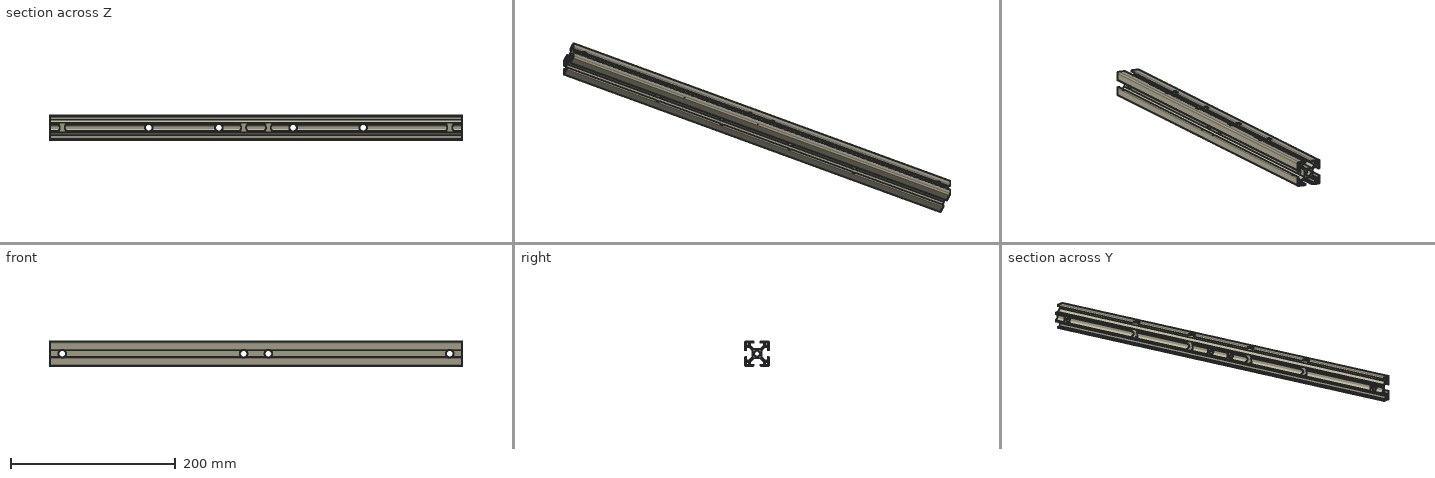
import cadquery as cq

length = 500.0
width = 30.0

slot_opening = 8.0
wall = 1.8
corner_radius = 2.0
lip_radius = 1.5
corner_box = 7.0
cavity_size = 2.9
core_width = 11.5
core_bore = 7.0
web_thickness = 1.9

hole_diameter = 9.0
side_hole_distances = (15.0, 235.0)
top_hole_distances = (120.0, 205.0)

notch_length = 7.5
notch_width = 14.0

half_width = width / 2


def square_bar(near, size):
    """Full-length square bar whose lower corner is at Y = Z = near."""
    return cq.Workplane("YZ").rect(size, size, centered=False).extrude(length).translate((0, near, near))


def make_slot_lip():
    """Wall along the top face, from the slot opening to the outer corner."""
    opening_edge = slot_opening / 2
    inner_face = half_width - wall
    return (
        cq.Workplane("YZ")
        .moveTo(half_width, inner_face)
        .lineTo(opening_edge, inner_face)
        .lineTo(opening_edge, half_width - lip_radius)
        .radiusArc((opening_edge + lip_radius, half_width), lip_radius)
        .lineTo(half_width, half_width)
        .close()
        .extrude(length)
    )


def make_corner():
    """Hollow corner box, its two slot lips and the diagonal web in the +Y +Z quadrant."""
    box_start = half_width - corner_box
    cavity_start = half_width - wall - cavity_size
    top_lip = make_slot_lip()
    side_lip = top_lip.mirror("XY").rotate((0, 0, 0), (1, 0, 0), 90)
    envelope = square_bar(0, half_width).edges("|X and >Y and >Z").fillet(corner_radius)
    shell = (
        square_bar(box_start, corner_box)
        .union(top_lip)
        .union(side_lip)
        .intersect(envelope)
        .cut(square_bar(cavity_start, cavity_size))
    )

    web_start = core_width / 2 - web_thickness / 2
    web_end = box_start + web_thickness / 2
    web_middle = (web_start + web_end) / 2
    web = (
        cq.Workplane("YZ")
        .rect((web_end - web_start) * 2**0.5, web_thickness)
        .extrude(length)
        .rotate((0, 0, 0), (1, 0, 0), 45)
        .translate((0, web_middle, web_middle))
    )
    return shell.union(web)


def make_profile():
    """Square core with a central bore, joined to four identical corners."""
    profile = cq.Workplane("YZ").rect(core_width, core_width).extrude(length)
    corner = make_corner()
    for quarter in range(4):
        profile = profile.union(corner.rotate((0, 0, 0), (1, 0, 0), 90 * quarter))
    bore = cq.Workplane("YZ").circle(core_bore / 2).extrude(length)
    return profile.cut(bore)


def centres_from_both_ends(distances):
    return [(x, 0) for distance in distances for x in (distance, length - distance)]


def make_through_holes(plane, distances):
    """Round drills across the whole bar, normal to the given plane."""
    return (
        cq.Workplane(plane)
        .pushPoints(centres_from_both_ends(distances))
        .circle(hole_diameter / 2)
        .extrude(half_width, both=True)
    )


def make_lip_notches():
    return (
        cq.Workplane("XY", origin=(0, 0, half_width - wall))
        .pushPoints(centres_from_both_ends(top_hole_distances))
        .rect(notch_length, notch_width)
        .extrude(wall)
    )


bar = make_profile()
bar = bar.cut(make_through_holes("XZ", side_hole_distances))
bar = bar.cut(make_through_holes("XY", top_hole_distances))
bar = bar.cut(make_lip_notches())

result = bar.translate((-length / 2, 0, 0))